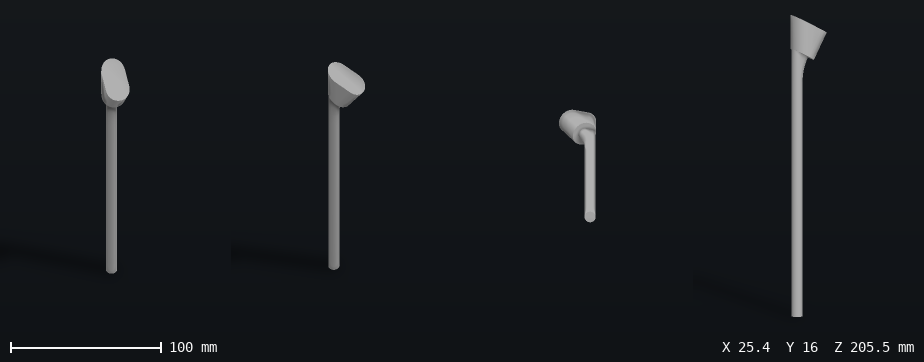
import cadquery as cq
import math

total_height = 205.5
rod_diameter = 7.4
bend_radius = 35.3
tilt_degrees = 30.0
head_diameter = 16.0
head_length = 20.0

rod_radius = rod_diameter / 2
head_radius = head_diameter / 2
tilt = math.radians(tilt_degrees)

rod_x = rod_radius
head_x = head_radius
head_vertical_length = head_length / math.cos(tilt)
base_edge_z = total_height - head_vertical_length

branch_x = rod_x + bend_radius * (1 - math.cos(tilt))


def base_z(x):
    """Height of the head's sloping lower face at x."""
    return base_edge_z - x * math.tan(tilt)


def top_z(x):
    """Height of the head's sloping upper face at x."""
    return base_z(x) + head_vertical_length


branch_z = base_z(branch_x)
bend_start_z = branch_z - bend_radius * math.sin(tilt)
bend_start = (rod_x, bend_start_z)
branch_end = (branch_x, branch_z)
bend_middle = (
    rod_x + bend_radius * (1 - math.cos(tilt / 2)),
    bend_start_z + bend_radius * math.sin(tilt / 2),
)


def plate(outline, width):
    """Extrude an XZ outline symmetrically about y = 0."""
    return outline.close().extrude(width / 2, both=True)


def make_head():
    slab = plate(
        cq.Workplane("XZ").polyline(
            [(0, base_z(0)), (head_x, base_z(head_x)), (head_x, top_z(head_x)), (0, top_z(0))]
        ),
        head_diameter,
    )
    upright = cq.Workplane("XY").center(head_x, 0).circle(head_radius).extrude(total_height)
    left_side = upright.intersect(slab)

    axis = (math.sin(tilt), 0, math.cos(tilt))
    base_plane = cq.Plane(origin=(branch_x, 0, branch_z), xDir=(0, 1, 0), normal=axis)
    tilted = cq.Workplane(base_plane).circle(head_radius).extrude(head_length)

    tilted_top = (branch_x + head_length * math.sin(tilt), branch_z + head_length * math.cos(tilt))
    wedge = plate(
        cq.Workplane("XZ").polyline(
            [(head_x, base_z(head_x)), branch_end, tilted_top, (head_x, top_z(head_x))]
        ),
        head_diameter,
    )
    return left_side.union(wedge).union(tilted)


def make_rod():
    straight = cq.Workplane("XY").center(rod_x, 0).circle(rod_radius).extrude(base_edge_z)

    path = cq.Workplane("XZ").moveTo(*bend_start).threePointArc(bend_middle, branch_end)
    branch = cq.Workplane("XY", origin=(rod_x, 0, bend_start_z)).circle(rod_radius).sweep(path)

    web = plate(
        cq.Workplane("XZ")
        .moveTo(*bend_start)
        .threePointArc(bend_middle, branch_end)
        .lineTo(rod_x, base_z(rod_x)),
        rod_diameter,
    )
    return straight.union(web).union(branch)


result = make_rod().union(make_head())